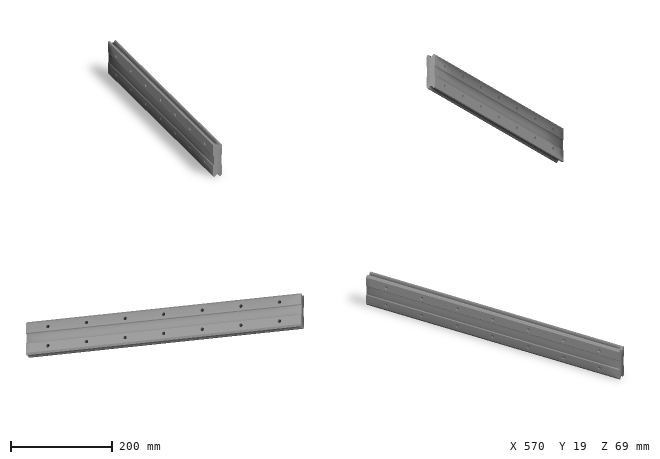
import cadquery as cq

LENGTH = 570.0
THICKNESS = 19.0
HEIGHT = 69.0

TOOTH_BEVEL_WIDTH = 2.5
TOOTH_BEVEL_HEIGHT = 4.0
TOOTH_TIP_WIDTH = 2.3
GROOVE_MOUTH = 10.2
GROOVE_DEPTH = 4.3
GROOVE_FLANK_WIDTH = 2.7
LIP_CHAMFER = 1.0

RELIEF_DEPTH = 1.5
RELIEF_FLOOR = 19.0

HOLE_DIAMETER = 7.0
HOLES_PER_ROW = 7
HOLE_PITCH = 80.0
ROW_COUNT = 2
ROW_SPACING = 40.0


def rail_body():
    """Extrude the cross-section, whose lower half mirrors its upper half."""
    side = THICKNESS / 2
    top = HEIGHT / 2
    floor = top - GROOVE_DEPTH
    web_side = side - RELIEF_DEPTH
    relief_corner = RELIEF_FLOOR / 2
    relief_edge = relief_corner + RELIEF_DEPTH

    tooth_outer = side - TOOTH_BEVEL_WIDTH
    tooth_inner = tooth_outer - TOOTH_TIP_WIDTH
    lip_inner = tooth_inner - GROOVE_MOUTH

    upper_half = [
        (web_side, relief_corner),
        (side, relief_edge),
        (side, top - TOOTH_BEVEL_HEIGHT),
        (tooth_outer, top),
        (tooth_inner, top),
        (tooth_inner - GROOVE_FLANK_WIDTH, floor),
        (lip_inner + GROOVE_FLANK_WIDTH, floor),
        (lip_inner, top),
        (-side + LIP_CHAMFER, top),
        (-side, top - LIP_CHAMFER),
        (-side, relief_edge),
        (-web_side, relief_corner),
    ]
    lower_half = [(y, -z) for y, z in reversed(upper_half)]
    outline = cq.Workplane("YZ").polyline(upper_half + lower_half).close()
    return outline.extrude(LENGTH / 2, both=True)


def mounting_holes():
    """Plain holes through the thickness, in one row above and one below the centre."""
    return (
        cq.Workplane("XZ")
        .rarray(HOLE_PITCH, ROW_SPACING, HOLES_PER_ROW, ROW_COUNT)
        .circle(HOLE_DIAMETER / 2)
        .extrude(THICKNESS, both=True)
    )


result = rail_body().cut(mounting_holes())